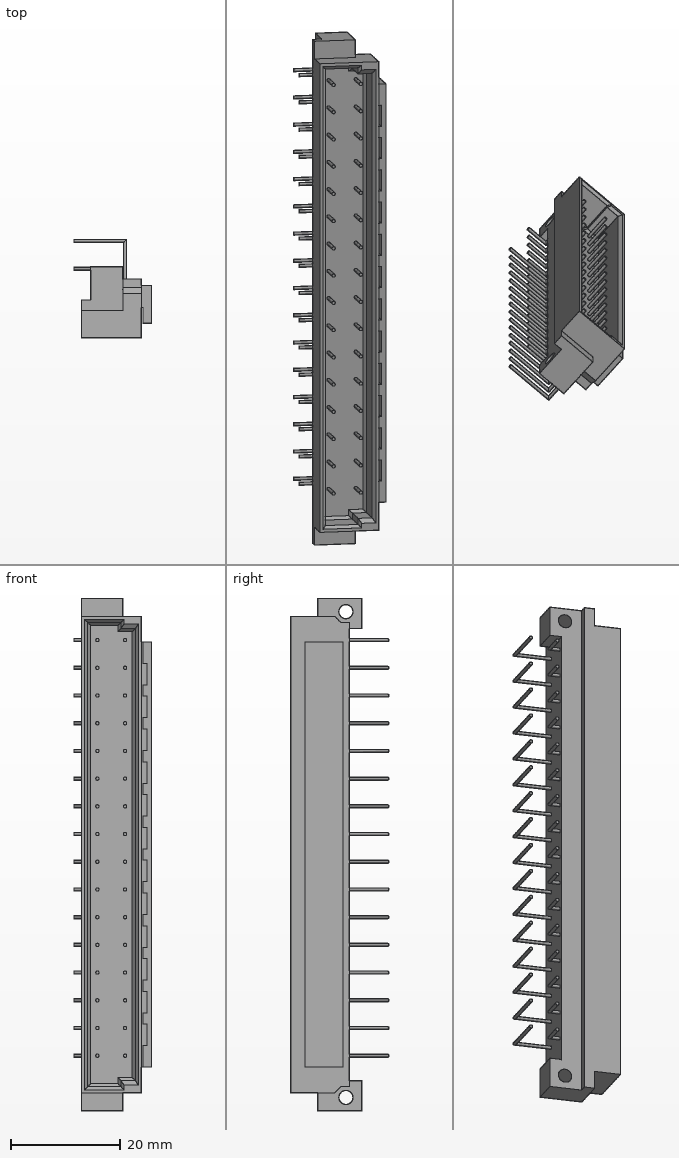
import cadquery as cq

length = 94.0
depth = 18.05
mid_z = length / 2

shell_left = 1.4
shell_right = 12.4
shell_inset = 3.3
back_y = 10.8
step_x = 3.1
step_y = 7.0

bevel_start_y = 8.1
bevel_size = 1.1

ear_right = 9.0
ear_front_y = 5.0
ear_back_y = 13.1
ear_length = 5.5
hole_dia = 2.5
hole_y = 10.15
hole_from_end = 2.4

rim = 0.6
chamfer = 0.6
cavity_depth = 6.6
key_x = 9.2
key_mouth_step = 0.8
key_step = 1.1

strip_right = 14.3
strip_front_y = 2.6
strip_back_y = 9.6
strip_length = 78.0
groove_width = 0.3
groove_back_y = 5.5
window_count = 12
window_pitch = 6.0
window_length = 3.95
window_right = 13.4

pin_dia = 0.6
row_count = 2
pin_count = 16
pin_span = 76.2
pin_pitch = pin_span / (pin_count - 1)
row_pitch = pin_pitch
first_row_x = 4.3
first_bend_y = depth - pin_dia / 2 - row_pitch
pin_tip_y = 1.8
pin_shift_z = 1.2


def box(x0, x1, y0, y1, z0, z1):
    """Box spanning the given limits along X, Y and Z."""
    return cq.Workplane("XY").box(x1 - x0, y1 - y0, z1 - z0, centered=False).translate((x0, y0, z0))


def make_shell():
    """Shell with bevelled ends on the +X side and a step along its back left edge."""
    low, high = shell_inset, length - shell_inset
    bevel_end_y = bevel_start_y + bevel_size
    outline = [
        (0, low),
        (bevel_start_y, low),
        (bevel_end_y, low + bevel_size),
        (back_y, low + bevel_size),
        (back_y, high - bevel_size),
        (bevel_end_y, high - bevel_size),
        (bevel_start_y, high),
        (0, high),
    ]
    shell = cq.Workplane("YZ").polyline(outline).close().extrude(shell_right - shell_left)
    shell = shell.translate((shell_left, 0, 0))
    return shell.cut(box(shell_left, step_x, step_y, back_y, 0, length))


def make_ear(z0, hole_z):
    """Mounting ear with a screw hole along X."""
    ear = box(shell_left, ear_right, ear_front_y, step_y, z0, z0 + ear_length)
    ear = ear.union(box(step_x, ear_right, step_y, ear_back_y, z0, z0 + ear_length))
    hole = cq.Workplane("YZ").center(hole_y, hole_z).circle(hole_dia / 2).extrude(shell_right)
    return ear.cut(hole)


def cavity_section(inset, step):
    """Points (X, Z) of the cavity outline, narrowed at both ends on the +X side for keying."""
    left, right = shell_left + inset, shell_right - inset
    half = mid_z - shell_inset - inset
    corner_x = key_x + rim - inset
    low, high = mid_z - half, mid_z + half
    return [
        (left, low),
        (corner_x, low),
        (corner_x, low + step),
        (right, low + step),
        (right, high - step),
        (corner_x, high - step),
        (corner_x, high),
        (left, high),
    ]


def cavity_layer(y0, y1, front, back):
    """Solid between two cavity outlines at depths y0 and y1."""
    wires = [
        cq.Wire.makePolygon([cq.Vector(x, y, z) for x, z in section], close=True)
        for y, section in ((y0, front), (y1, back))
    ]
    return cq.Workplane(cq.Solid.makeLoft(wires, True))


def make_cavity():
    mouth = cavity_section(rim, key_mouth_step)
    wall = cavity_section(rim + chamfer, key_step)
    floor = cavity_section(rim + 2 * chamfer, key_step)
    wall_end_y = cavity_depth - chamfer
    cavity = cavity_layer(0, chamfer, mouth, wall)
    cavity = cavity.union(cavity_layer(chamfer, wall_end_y, wall, wall))
    return cavity.union(cavity_layer(wall_end_y, cavity_depth, wall, floor))


def make_strip():
    """Side strip with a groove along the shell and a row of windows open to the front."""
    z0 = mid_z - strip_length / 2
    z1 = mid_z + strip_length / 2
    strip = box(shell_right, strip_right, strip_front_y, strip_back_y, z0, z1)
    strip = strip.cut(box(shell_right, shell_right + groove_width, strip_front_y, groove_back_y, z0, z1))
    for i in range(window_count):
        window_z = mid_z + (i - (window_count - 1) / 2) * window_pitch
        strip = strip.cut(
            box(
                shell_right,
                window_right,
                strip_front_y,
                groove_back_y,
                window_z - window_length / 2,
                window_z + window_length / 2,
            )
        )
    return strip


def make_pin(x, bend_y, z):
    """Round pin running back from the cavity, then bent square toward -X."""
    path = cq.Workplane("XY", origin=(0, 0, z)).polyline([(x, pin_tip_y), (x, bend_y), (0, bend_y)])
    start = cq.Workplane("XZ", origin=(x, pin_tip_y, z))
    return start.circle(pin_dia / 2).sweep(path, transition="right")


housing = make_shell()
housing = housing.union(make_ear(0, hole_from_end))
housing = housing.union(make_ear(length - ear_length, length - hole_from_end))
housing = housing.cut(make_cavity())
housing = housing.union(make_strip())

result = housing
for i in range(pin_count):
    pin_z = mid_z + pin_shift_z + i * pin_pitch - pin_span / 2
    for row in range(row_count):
        row_offset = row * row_pitch
        result = result.union(make_pin(first_row_x + row_offset, first_bend_y + row_offset, pin_z))